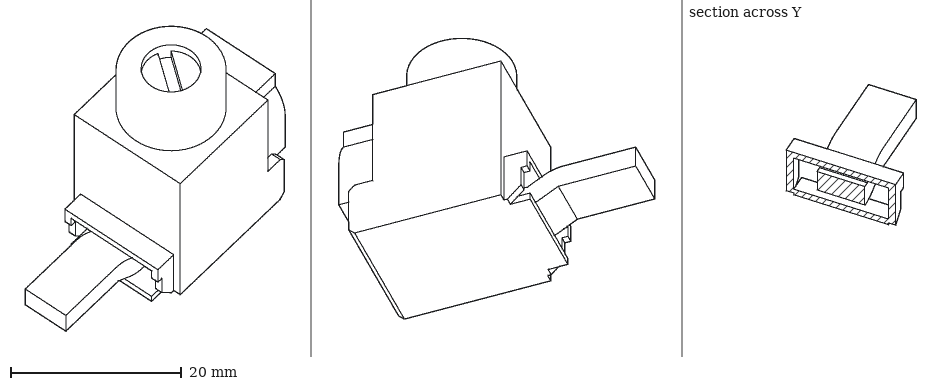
import cadquery as cq
import math

overall_length = 35.95
overall_height = 28.57

body_width = 16.15
body_height = 21.17
half_body = body_width / 2

foot_length = 3.02
foot_height = 7.6
foot_chamfer = 0.75

boss_length = 4.78
boss_bottom = 6.4
boss_top = 19.2
boss_radius = 6.75
boss_top_half_width = 5.25
boss_axis_height = 12.55

collar_diameter = 12.95
collar_edge_radius = 0.35
bore_diameter = 7.0
bore_depth = 1.2
slot_width = 1.58
slot_depth = bore_depth
slot_angle = -37.6

spout_length = 2.9
spout_width = 14.15
spout_height = 6.83
spout_wall = 0.97
cheek_setback = 0.75
cheek_step_height = 4.45
cheek_chamfer = 1.73

tongue_width = 6.18
tongue_thickness = 3.02
tongue_drop = 1.87
tongue_slope = math.radians(30)
tongue_bend_radius = 4.8
tongue_root = 2.4
bend_start = 5.93
inner_corner = 5.3


def extrude_across(outline, width):
    """Extrude a YZ outline symmetrically about the X = 0 plane."""
    return outline.close().extrude(width / 2, both=True)


def make_body():
    block = cq.Workplane("XY").box(body_width, body_width, body_height, centered=(True, True, False))
    foot = (
        cq.Workplane("XY")
        .box(body_width, foot_length, foot_height, centered=(True, False, False))
        .translate((0, half_body, 0))
        .faces(">Y")
        .edges("|X")
        .chamfer(foot_chamfer)
    )
    return block.union(foot)


def make_rear_boss():
    shoulder_height = boss_axis_height + math.sqrt(boss_radius**2 - boss_top_half_width**2)
    mid_angle = math.asin((shoulder_height - boss_axis_height) / boss_radius) / 2
    arc_mid_x = boss_radius * math.cos(mid_angle)
    arc_mid_z = boss_axis_height + boss_radius * math.sin(mid_angle)
    return (
        cq.Workplane("XZ", origin=(0, half_body, 0))
        .moveTo(-boss_radius, boss_bottom)
        .lineTo(boss_radius, boss_bottom)
        .lineTo(boss_radius, boss_axis_height)
        .threePointArc((arc_mid_x, arc_mid_z), (boss_top_half_width, shoulder_height))
        .lineTo(boss_top_half_width, boss_top)
        .lineTo(-boss_top_half_width, boss_top)
        .lineTo(-boss_top_half_width, shoulder_height)
        .threePointArc((-arc_mid_x, arc_mid_z), (-boss_radius, boss_axis_height))
        .close()
        .extrude(-boss_length)
    )


def make_collar():
    return (
        cq.Workplane("XY", origin=(0, 0, body_height))
        .circle(collar_diameter / 2)
        .extrude(overall_height - body_height)
        .faces(">Z")
        .edges()
        .fillet(collar_edge_radius)
    )


def make_screw_recess():
    """Round recess with a slanted driver slot in its floor."""
    floor_height = overall_height - bore_depth
    bore = cq.Workplane("XY", origin=(0, 0, floor_height)).circle(bore_diameter / 2).extrude(bore_depth)
    slot_limit = bore.translate((0, 0, -slot_depth))
    slot = (
        cq.Workplane("XY", origin=(0, 0, floor_height))
        .transformed(rotate=(0, 0, slot_angle))
        .rect(bore_diameter, slot_width)
        .extrude(-slot_depth)
        .intersect(slot_limit)
    )
    return bore.union(slot)


def make_spout():
    """Solid spout with set-back, chamfered cheeks and a full-length floor lip."""
    front = -half_body - spout_length
    cheek_front = front + cheek_setback
    shell = extrude_across(
        cq.Workplane("YZ")
        .moveTo(-half_body, 0)
        .lineTo(cheek_front + cheek_chamfer, 0)
        .lineTo(cheek_front, cheek_chamfer)
        .lineTo(cheek_front, cheek_step_height)
        .lineTo(front, cheek_step_height)
        .lineTo(front, spout_height)
        .lineTo(-half_body, spout_height),
        spout_width,
    )
    lip = (
        cq.Workplane("XY")
        .box(spout_width - 2 * spout_wall, spout_length, spout_wall, centered=(True, False, False))
        .translate((0, front, 0))
    )
    return shell.union(lip)


def make_spout_cavity():
    return (
        cq.Workplane("XY")
        .box(
            spout_width - 2 * spout_wall,
            spout_length,
            spout_height - 2 * spout_wall,
            centered=(True, False, False),
        )
        .translate((0, -half_body - spout_length, spout_wall))
    )


def make_tongue():
    """Flat bar with a jog; rounded outer bends and sharp inner corners."""
    tip = half_body + boss_length - overall_length
    top = spout_height
    bottom = top - tongue_thickness
    root_top = top - tongue_drop
    root_bottom = bottom - tongue_drop

    bend_run = tongue_bend_radius * math.sin(tongue_slope)
    bend_drop = tongue_bend_radius * (1 - math.cos(tongue_slope))
    ramp_run = (tongue_drop - bend_drop) / math.tan(tongue_slope)
    mid_run = tongue_bend_radius * math.sin(tongue_slope / 2)
    mid_drop = tongue_bend_radius * (1 - math.cos(tongue_slope / 2))

    upper_bend = -half_body - bend_start
    lower_corner = -half_body - inner_corner
    lower_bend = lower_corner + ramp_run + bend_run
    root = lower_bend + tongue_root
    return extrude_across(
        cq.Workplane("YZ")
        .moveTo(tip, top)
        .lineTo(upper_bend, top)
        .threePointArc((upper_bend + mid_run, top - mid_drop), (upper_bend + bend_run, top - bend_drop))
        .lineTo(upper_bend + bend_run + ramp_run, root_top)
        .lineTo(root, root_top)
        .lineTo(root, root_bottom)
        .lineTo(lower_bend, root_bottom)
        .threePointArc(
            (lower_bend - mid_run, root_bottom + mid_drop),
            (lower_bend - bend_run, root_bottom + bend_drop),
        )
        .lineTo(lower_corner, bottom)
        .lineTo(tip, bottom),
        tongue_width,
    )


result = (
    make_body()
    .union(make_rear_boss())
    .union(make_collar())
    .cut(make_screw_recess())
    .union(make_spout())
    .cut(make_spout_cavity())
    .union(make_tongue())
)